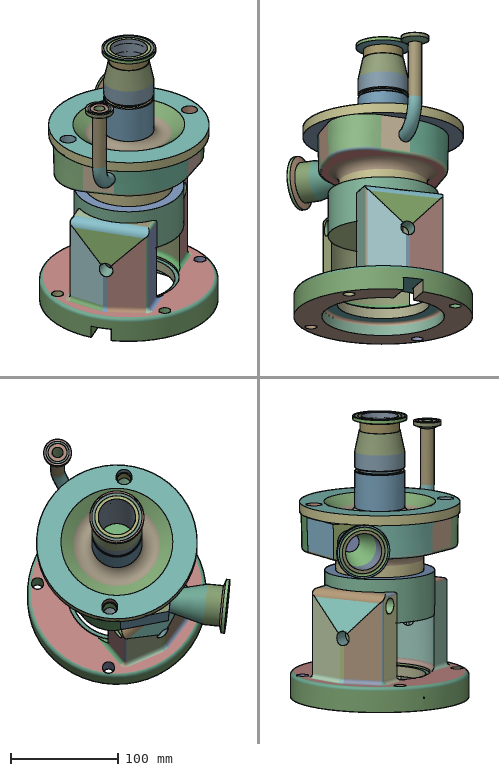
import cadquery as cq
import math

BASE_R = 83.5
BASE_H = 23.7
BASE_EDGE_FILLET = 3.3
BASE_BORE_R = 43.0
BASE_LIP_R = 47.0
BASE_LIP_DEPTH = 2.0
REGISTER_R = 57.15
REGISTER_DEPTH = 12.0
REGISTER_FILLET = 2.7
KEYWAY_W = 19.6
BOLT_CIRCLE_R = 74.5
BOLT_HOLE_D = 11.0
PIN_HOLE_D = 1.2
PIN_HOLE_DEPTH = 3.0
PIN_HOLE_ANGLE = 150.0

LEG_HALF_W = 38.6
LEG_TOP = 108.4
LEG_RIDGE_Y = 69.3
LEG_RIDGE_HALF_W = 2.2
LEG_SLOPE = math.tan(math.radians(15.0))
LEG_INCLINE_Z = 68.3
LEG_BORE_R = 51.8
LEG_TOP_FILLET = 10.0
LEG_SIDE_FILLET = 2.3
LEG_SHOULDER_FILLET = 2.7
LEG_FOOT_FILLET = 4.0
LEG_HOLE_D = 13.4
LEG_HOLE_Z = 66.0
LEG_SLIT_W = 2.5
CROSS_HOLE_D = 14.8
CROSS_HOLE_Y = 47.4
CROSS_HOLE_Z = 97.0

SLEEVE_R = 51.4
SLEEVE_BOTTOM = 78.8
SLEEVE_TOP = 120.4
NECK_R = 41.2
NECK_FILLET = 9.9

CASING_BOTTOM = 141.2
CASING_TOP = 175.9
CASING_R = 61.1
LOBE_OFFSET = 38.7
LOBE_R = 36.2
CASING_DRAFT = 1.4
CASING_EDGE_FILLET = 2.5
OUTLET_PAD_T = 55.2
OUTLET_PAD_OUTER = 59.4
OUTLET_PAD_INNER = 24.0

COVER_R = 75.0
COVER_TOP = 185.3
COVER_HOLE_R = 63.5
COVER_HOLE_D = 14.8
TAP_HOLE_D = 12.6
TAP_HOLE_DEPTH = 15.0
TAP_TIP_H = 3.6
DISH_RIM_R = 52.2
DISH_FLOOR_R = 40.4
DISH_DEPTH = 9.0
DISH_RISE = 3.6

INLET_R = 23.5
INLET_TOP = 266.6
INLET_NECK_R = 18.5
INLET_SHOULDER_R = 19.2
INLET_SHOULDER_Z = 252.8
INLET_TAPER_Z = 232.7
INLET_GROOVE_R = 20.2
INLET_GROOVE_Z = 216.1
INLET_GROOVE_W = 4.0
INLET_GROOVE_CHAMFER = 0.8
INLET_BORE_DEPTH = 80.0
PORT_BORE_R = 17.4
PORT_FLANGE_R = 25.25
PORT_FLANGE_T = 3.2
PORT_FLANGE_CONE = 2.0
PORT_SEAL_IN_R = 20.6
PORT_SEAL_OUT_R = 23.5
SEAL_DEPTH = 1.4

OUTLET_Z = (CASING_BOTTOM + CASING_TOP) / 2
OUTLET_OFFSET = 43.9
OUTLET_FACE_T = 108.1
OUTLET_R = 19.1
OUTLET_CONE_T = 88.4
OUTLET_ROOT_R = 11.2
OUTLET_ROOT_BORE_R = 9.0
OUTLET_ROOT_T = 57.0
OUTLET_BURIAL = 12.0

DRAIN_Y = -88.0
DRAIN_TOP = 247.9
DRAIN_R = 6.5
DRAIN_BORE_R = 5.0
DRAIN_BEND_R = 28.3
DRAIN_LOW_Z = 159.4
DRAIN_END_Y = -58.0
DRAIN_FLANGE_R = 13.0
DRAIN_FLANGE_T = 3.6
DRAIN_FLANGE_CONE = 3.0
DRAIN_SEAL_IN_R = 8.9
DRAIN_SEAL_OUT_R = 10.8

HALF_ROOT = math.sqrt(0.5)
DIAGONALS = (45, 225)
SIDES = (-1, 1)


def cylinder(radius, z_low, z_high, x=0, y=0):
    return cq.Workplane("XY", origin=(x, y, z_low)).circle(radius).extrude(z_high - z_low)


def polar(radius, angle):
    a = math.radians(angle)
    return radius * math.cos(a), radius * math.sin(a)


def spin(profile):
    """Turn a closed (radius, height) profile about the Z axis."""
    return profile.close().revolve(360, (0, 0, 0), (0, 1, 0))


def seal_groove(inner_r, outer_r, face_z):
    """Round-bottomed gasket groove in a clamp flange face."""
    middle = ((inner_r + outer_r) / 2, face_z - SEAL_DEPTH)
    profile = cq.Workplane("XZ").moveTo(inner_r, face_z).threePointArc(middle, (outer_r, face_z))
    return spin(profile)


def make_leg():
    """Wedge-shaped -Y half of the leg block, with a sloping, rounded top half."""
    side_y = LEG_RIDGE_Y - LEG_SLOPE * (LEG_HALF_W - LEG_RIDGE_HALF_W)
    plan = (
        cq.Workplane("XY", origin=(0, 0, BASE_H))
        .polyline([
            (-LEG_HALF_W, 0),
            (-LEG_HALF_W, -side_y),
            (-LEG_RIDGE_HALF_W, -LEG_RIDGE_Y),
            (LEG_RIDGE_HALF_W, -LEG_RIDGE_Y),
            (LEG_HALF_W, -side_y),
            (LEG_HALF_W, 0),
        ])
        .close()
        .extrude(LEG_TOP - BASE_H)
    )
    flanks = cq.selectors.BoxSelector((-BASE_R, -side_y - 1, 0), (BASE_R, -side_y + 1, LEG_TOP))
    plan = plan.edges("|Z").edges(flanks).fillet(LEG_SIDE_FILLET)
    top_y = LEG_RIDGE_Y - LEG_SLOPE * (LEG_TOP - LEG_INCLINE_Z)
    side = (
        cq.Workplane("YZ", origin=(-LEG_HALF_W, 0, 0))
        .polyline([
            (0, BASE_H),
            (-LEG_RIDGE_Y, BASE_H),
            (-LEG_RIDGE_Y, LEG_INCLINE_Z),
            (-top_y, LEG_TOP),
            (0, LEG_TOP),
        ])
        .close()
        .extrude(2 * LEG_HALF_W)
    )
    side = side.faces(">Z").edges("<Y").fillet(LEG_TOP_FILLET)
    front = cq.Workplane("XY", origin=(0, 0, BASE_H)).rect(2 * LEG_HALF_W, 2 * LEG_RIDGE_Y)
    front = front.extrude(LEG_TOP - BASE_H).faces(">Z").edges("|Y").fillet(LEG_SHOULDER_FILLET)
    return plan.intersect(side).intersect(front)


def make_leg_bore():
    """Space between the legs, rounded where it meets the base."""
    swing = LEG_FOOT_FILLET * (1 - HALF_ROOT)
    foot_r = LEG_BORE_R - LEG_FOOT_FILLET
    return spin(
        cq.Workplane("XZ")
        .moveTo(0, BASE_H)
        .lineTo(foot_r, BASE_H)
        .threePointArc((LEG_BORE_R - swing, BASE_H + swing), (LEG_BORE_R, BASE_H + LEG_FOOT_FILLET))
        .lineTo(LEG_BORE_R, SLEEVE_BOTTOM)
        .lineTo(0, SLEEVE_BOTTOM)
    )


def make_stand():
    leg = make_leg()
    base = cylinder(BASE_R, 0, BASE_H).faces(">Z").edges().fillet(BASE_EDGE_FILLET)
    stand = base.union(leg.union(leg.mirror("XZ")))
    foot = cq.selectors.BoxSelector(
        (-LEG_HALF_W - 1, -LEG_RIDGE_Y - 1, BASE_H - 1),
        (LEG_HALF_W + 1, LEG_RIDGE_Y + 1, BASE_H + 1),
    )
    rim = cq.selectors.BoxSelector((-1, -1, 0), (1, 1, LEG_TOP))
    stand = stand.edges(foot - rim).fillet(LEG_FOOT_FILLET)
    return cut_base(stand.cut(make_leg_bore()))


def cut_base(stand):
    register = cylinder(REGISTER_R, 0, REGISTER_DEPTH).faces(">Z").edges().fillet(REGISTER_FILLET)
    keyway = cq.Workplane("XY").box(KEYWAY_W, BASE_R, REGISTER_DEPTH, centered=(True, False, False))
    keyway = keyway.translate((0, -BASE_R - BASE_BORE_R, 0))
    stand = stand.cut(register).cut(keyway)
    stand = stand.cut(cylinder(BASE_BORE_R, 0, BASE_H))
    stand = stand.cut(cylinder(BASE_LIP_R, BASE_H - BASE_LIP_DEPTH, BASE_H))
    for angle in (45, 135, 225, 315):
        x, y = polar(BOLT_CIRCLE_R, angle)
        stand = stand.cut(cylinder(BOLT_HOLE_D / 2, 0, BASE_H, x, y))
    pin = cylinder(PIN_HOLE_D / 2, 0, PIN_HOLE_DEPTH).rotate((0, 0, 0), (0, 1, 0), 90)
    pin = pin.translate((BASE_R - PIN_HOLE_DEPTH, 0, REGISTER_DEPTH))
    return stand.cut(pin.rotate((0, 0, 0), (0, 0, 1), PIN_HOLE_ANGLE))


def cut_leg_holes(body):
    floor_y = math.sqrt(LEG_BORE_R**2 - (LEG_SLIT_W / 2) ** 2)
    for side in SIDES:
        hole = (
            cq.Workplane("XZ", origin=(0, side * floor_y, LEG_HOLE_Z))
            .circle(LEG_HOLE_D / 2)
            .extrude(-side * (LEG_RIDGE_Y - floor_y))
        )
        body = body.cut(hole)
    cross = (
        cq.Workplane("YZ", origin=(-BASE_R, CROSS_HOLE_Y, CROSS_HOLE_Z))
        .circle(CROSS_HOLE_D / 2)
        .extrude(2 * BASE_R)
    )
    return body.cut(cross)


def make_sleeve_and_neck():
    flare_z = CASING_BOTTOM - NECK_FILLET
    swing = NECK_FILLET * (1 - HALF_ROOT)
    profile = (
        cq.Workplane("XZ")
        .moveTo(0, SLEEVE_BOTTOM)
        .lineTo(SLEEVE_R, SLEEVE_BOTTOM)
        .lineTo(SLEEVE_R, SLEEVE_TOP)
        .lineTo(NECK_R, SLEEVE_TOP)
        .lineTo(NECK_R, flare_z)
        .threePointArc((NECK_R + swing, CASING_BOTTOM - swing), (NECK_R + NECK_FILLET, CASING_BOTTOM))
        .lineTo(0, CASING_BOTTOM)
    )
    return spin(profile)


def outlet_point(t, s):
    """Plan point at distance t along the outlet direction and s across it."""
    return (s - t) * HALF_ROOT, (s + t) * HALF_ROOT


def draft_down(outline):
    """Casing-height block narrowing toward its rounded underside edge."""
    block = outline.close().extrude(CASING_BOTTOM - CASING_TOP, taper=CASING_DRAFT)
    return block.faces("<Z").edges().fillet(CASING_EDGE_FILLET)


def make_round_casing():
    """Round body with a lobe around each cover bolt, joined by tangent flats."""
    half_span = math.degrees(math.acos((CASING_R - LOBE_R) / LOBE_OFFSET))
    outline_start = polar(CASING_R, DIAGONALS[0] - half_span)
    outline = cq.Workplane("XY", origin=(0, 0, CASING_TOP)).moveTo(*outline_start)
    for angle in DIAGONALS:
        start = angle - half_span
        end = angle + half_span
        next_start = angle + 180 - half_span
        outline = (
            outline.lineTo(*lobe_point(angle, start))
            .threePointArc(lobe_point(angle, angle), lobe_point(angle, end))
            .lineTo(*polar(CASING_R, end))
            .threePointArc(polar(CASING_R, angle + 90), polar(CASING_R, next_start))
        )
    return draft_down(outline)


def lobe_point(lobe_angle, angle):
    cx, cy = polar(LOBE_OFFSET, lobe_angle)
    dx, dy = polar(LOBE_R, angle)
    return cx + dx, cy + dy


def make_outlet_pad():
    """Block carrying the outlet face, its long side tangent to the nearer lobe."""
    corner = outlet_point(OUTLET_PAD_T, OUTLET_PAD_OUTER)
    cx, cy = polar(LOBE_OFFSET, DIAGONALS[0])
    reach = math.hypot(corner[0] - cx, corner[1] - cy)
    bearing = math.degrees(math.atan2(corner[1] - cy, corner[0] - cx))
    touch = bearing - math.degrees(math.acos(LOBE_R / reach))
    outline = (
        cq.Workplane("XY", origin=(0, 0, CASING_TOP))
        .moveTo(*corner)
        .lineTo(*outlet_point(OUTLET_PAD_T, OUTLET_PAD_INNER))
        .lineTo(0, 0)
        .lineTo(cx, cy)
        .lineTo(*lobe_point(DIAGONALS[0], touch))
    )
    return draft_down(outline)


def make_casing():
    return make_round_casing().union(make_outlet_pad())


def dish_valley_point(dish_z):
    """Middle of the valley arc that continues the dish cone and rises to the inlet tube."""
    run = DISH_FLOOR_R - INLET_R
    cone_angle = math.atan2(DISH_DEPTH, DISH_RIM_R - DISH_FLOOR_R)
    chord_angle = math.atan2(DISH_RISE, run)
    sag = math.hypot(run, DISH_RISE) / 2 * math.tan((cone_angle + chord_angle) / 2)
    mid_r = DISH_FLOOR_R - run / 2 - sag * math.sin(chord_angle)
    mid_z = dish_z + DISH_RISE / 2 - sag * math.cos(chord_angle)
    return mid_r, mid_z


def make_dish():
    """Ring-shaped hollow around the inlet tube, deep enough to reach into the casing."""
    dish_z = COVER_TOP - DISH_DEPTH
    return spin(
        cq.Workplane("XZ")
        .moveTo(INLET_R, COVER_TOP)
        .lineTo(DISH_RIM_R, COVER_TOP)
        .lineTo(DISH_FLOOR_R, dish_z)
        .threePointArc(dish_valley_point(dish_z), (INLET_R, dish_z + DISH_RISE))
    )


def make_cover_and_inlet():
    groove_low = INLET_GROOVE_Z - INLET_GROOVE_W / 2
    groove_high = INLET_GROOVE_Z + INLET_GROOVE_W / 2
    lip_r = INLET_R - INLET_GROOVE_CHAMFER
    flange_low = INLET_TOP - PORT_FLANGE_T
    profile = (
        cq.Workplane("XZ")
        .moveTo(0, CASING_TOP)
        .lineTo(COVER_R, CASING_TOP)
        .lineTo(COVER_R, COVER_TOP)
        .lineTo(INLET_R, COVER_TOP)
        .lineTo(INLET_R, groove_low)
        .lineTo(lip_r, groove_low + INLET_GROOVE_CHAMFER)
        .lineTo(INLET_GROOVE_R, groove_low + INLET_GROOVE_CHAMFER)
        .lineTo(INLET_GROOVE_R, groove_high - INLET_GROOVE_CHAMFER)
        .lineTo(lip_r, groove_high - INLET_GROOVE_CHAMFER)
        .lineTo(INLET_R, groove_high)
        .lineTo(INLET_R, INLET_TAPER_Z)
        .lineTo(INLET_SHOULDER_R, INLET_SHOULDER_Z)
        .lineTo(INLET_NECK_R, INLET_SHOULDER_Z)
        .lineTo(INLET_NECK_R, flange_low - PORT_FLANGE_CONE)
        .lineTo(PORT_FLANGE_R, flange_low)
        .lineTo(PORT_FLANGE_R, INLET_TOP)
        .lineTo(0, INLET_TOP)
    )
    inlet = spin(profile)
    inlet = inlet.cut(cylinder(PORT_BORE_R, INLET_TOP - INLET_BORE_DEPTH, INLET_TOP))
    return inlet.cut(seal_groove(PORT_SEAL_IN_R, PORT_SEAL_OUT_R, INLET_TOP))


def cut_cover_holes(body):
    tap_floor = CASING_TOP - TAP_HOLE_DEPTH
    tap = spin(
        cq.Workplane("XZ")
        .moveTo(0, CASING_TOP)
        .lineTo(TAP_HOLE_D / 2, CASING_TOP)
        .lineTo(TAP_HOLE_D / 2, tap_floor)
        .lineTo(0, tap_floor - TAP_TIP_H)
    )
    for angle in DIAGONALS:
        x, y = polar(COVER_HOLE_R, angle)
        body = body.cut(cylinder(COVER_HOLE_D / 2, CASING_TOP, COVER_TOP, x, y))
        body = body.cut(tap.translate((x, y, 0)))
    return body


def place_outlet(shape):
    """Lay a Z-axis shape along the outlet direction, toward -X +Y."""
    x, y = outlet_point(0, OUTLET_OFFSET)
    laid = shape.rotate((0, 0, 0), (0, 1, 0), 90).rotate((0, 0, 0), (0, 0, 1), 135)
    return laid.translate((x, y, OUTLET_Z))


def make_outlet():
    flange_low = OUTLET_FACE_T - PORT_FLANGE_T
    outlet = spin(
        cq.Workplane("XZ")
        .moveTo(0, OUTLET_ROOT_T - OUTLET_BURIAL)
        .lineTo(OUTLET_ROOT_R, OUTLET_ROOT_T - OUTLET_BURIAL)
        .lineTo(OUTLET_ROOT_R, OUTLET_ROOT_T)
        .lineTo(OUTLET_R, OUTLET_CONE_T)
        .lineTo(OUTLET_R, flange_low - PORT_FLANGE_CONE)
        .lineTo(PORT_FLANGE_R, flange_low)
        .lineTo(PORT_FLANGE_R, OUTLET_FACE_T)
        .lineTo(0, OUTLET_FACE_T)
    )
    return place_outlet(outlet.cut(seal_groove(PORT_SEAL_IN_R, PORT_SEAL_OUT_R, OUTLET_FACE_T)))


def make_outlet_bore():
    return place_outlet(spin(
        cq.Workplane("XZ")
        .moveTo(0, OUTLET_ROOT_T)
        .lineTo(OUTLET_ROOT_BORE_R, OUTLET_ROOT_T)
        .lineTo(PORT_BORE_R, OUTLET_CONE_T)
        .lineTo(PORT_BORE_R, OUTLET_FACE_T)
        .lineTo(0, OUTLET_FACE_T)
    ))


def sweep_drain(radius):
    bend_top = DRAIN_LOW_Z + DRAIN_BEND_R
    swing = DRAIN_BEND_R * (1 - HALF_ROOT)
    path = (
        cq.Workplane("YZ")
        .moveTo(DRAIN_Y, DRAIN_TOP)
        .lineTo(DRAIN_Y, bend_top)
        .threePointArc((DRAIN_Y + swing, DRAIN_LOW_Z + swing), (DRAIN_Y + DRAIN_BEND_R, DRAIN_LOW_Z))
        .lineTo(DRAIN_END_Y, DRAIN_LOW_Z)
    )
    return cq.Workplane("XY", origin=(0, DRAIN_Y, DRAIN_TOP)).circle(radius).sweep(path)


def make_drain():
    flange_low = DRAIN_TOP - DRAIN_FLANGE_T
    cone_low = flange_low - DRAIN_FLANGE_CONE
    flange = spin(
        cq.Workplane("XZ")
        .moveTo(0, cone_low)
        .lineTo(DRAIN_R, cone_low)
        .lineTo(DRAIN_FLANGE_R, flange_low)
        .lineTo(DRAIN_FLANGE_R, DRAIN_TOP)
        .lineTo(0, DRAIN_TOP)
    )
    flange = flange.cut(seal_groove(DRAIN_SEAL_IN_R, DRAIN_SEAL_OUT_R, DRAIN_TOP))
    return sweep_drain(DRAIN_R).union(flange.translate((0, DRAIN_Y, 0)))


pump = make_stand().union(make_sleeve_and_neck()).union(make_casing()).union(make_cover_and_inlet())
pump = pump.cut(make_dish()).union(make_outlet()).union(make_drain())
pump = cut_leg_holes(pump)
pump = cut_cover_holes(pump)
result = pump.cut(make_outlet_bore()).cut(sweep_drain(DRAIN_BORE_R))